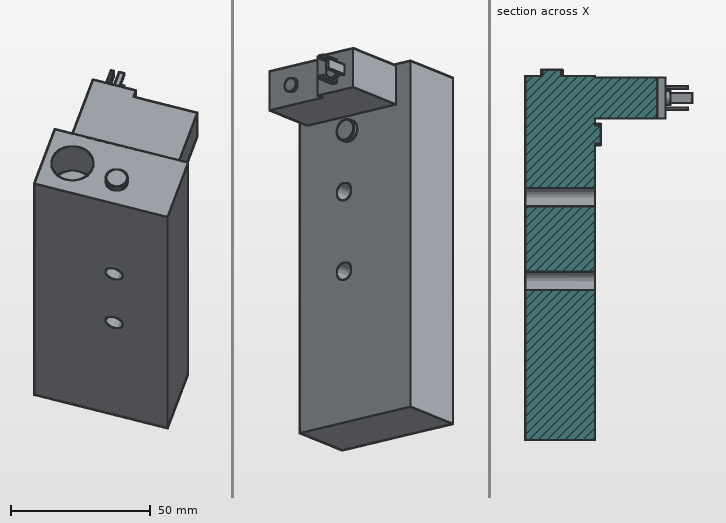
import cadquery as cq

block_width = 50.0
block_depth = 25.0
total_height = 132.5
button_height = 2.3
block_height = total_height - button_height

button_diameter = 8.0
button_chamfer = 0.3
back_button_height = 2.0
button_x = 28.0
top_button_y = 9.5
back_button_drop = 21.0

bore_diameter = 15.0
bore_x = 10.5
bore_depth = 15.0

mount_diameter = 6.5
mount_x = 30.0
mount_heights = (57.0, 86.9)

coil_left = 6.5
coil_right = 46.5
coil_step_x = 22.7
coil_full_y = 50.2
coil_low_y = 47.3
coil_height = 14.7
coil_top_gap = 0.5
coil_mid_z = block_height - coil_top_gap - coil_height / 2

disc_diameter = 5.0
disc_x = 36.3
disc_height = 1.0
boss_diameter = 5.0
boss_height = 1.7

blade_thickness = 1.0
upright_x = 10.9
upright_height = 3.7
upright_tip_y = 59.8
flat_x = 14.8
flat_width = 2.0
flat_tip_y = 58.2
flat_offset_z = 3.8


def cylinder_along_y(diameter, x, start_y, z, length):
    """Cylinder running from start_y in the +Y direction."""
    return cq.Workplane(cq.Solid.makeCylinder(
        diameter / 2, length, cq.Vector(x, start_y, z), cq.Vector(0, 1, 0)))


def make_block():
    """Block with its blind bore, mounting holes and buttons."""
    block = cq.Workplane("XY").box(block_width, block_depth, block_height, centered=False)
    bore = (cq.Workplane("XY", origin=(bore_x, block_depth / 2, block_height))
            .circle(bore_diameter / 2).extrude(-bore_depth))
    block = block.cut(bore)
    for height in mount_heights:
        block = block.cut(cylinder_along_y(mount_diameter, mount_x, 0, height, block_depth))
    top_button = (cq.Workplane("XY", origin=(button_x, top_button_y, block_height))
                  .circle(button_diameter / 2).extrude(button_height)
                  .faces(">Z").chamfer(button_chamfer))
    back_button = cylinder_along_y(button_diameter, button_x, block_depth,
                                   block_height - back_button_drop, back_button_height)
    back_button = back_button.faces(">Y").chamfer(button_chamfer)
    return block.union(top_button).union(back_button)


def make_blade(x, z, width, height, tip_y):
    """Straight blade from the coil's full-depth face to tip_y."""
    return (cq.Workplane("XY").box(width, tip_y - coil_full_y, height, centered=(True, False, True))
            .translate((x, coil_full_y, z)))


def make_coil():
    """Stepped coil body with its disc, boss and connector blades."""
    coil = (cq.Workplane("XY", origin=(0, 0, coil_mid_z))
            .moveTo(coil_left, block_depth)
            .lineTo(coil_right, block_depth)
            .lineTo(coil_right, coil_low_y)
            .lineTo(coil_step_x, coil_low_y)
            .lineTo(coil_step_x, coil_full_y)
            .lineTo(coil_left, coil_full_y)
            .close()
            .extrude(coil_height / 2, both=True))
    coil = coil.union(cylinder_along_y(disc_diameter, disc_x, coil_low_y, coil_mid_z, disc_height))
    coil = coil.union(cylinder_along_y(boss_diameter, flat_x, coil_full_y, coil_mid_z, boss_height))
    coil = coil.union(make_blade(upright_x, coil_mid_z, blade_thickness, upright_height, upright_tip_y))
    for side in (-1, 1):
        flat_z = coil_mid_z + side * flat_offset_z
        coil = coil.union(make_blade(flat_x, flat_z, flat_width, blade_thickness, flat_tip_y))
    return coil


result = make_block().union(make_coil())